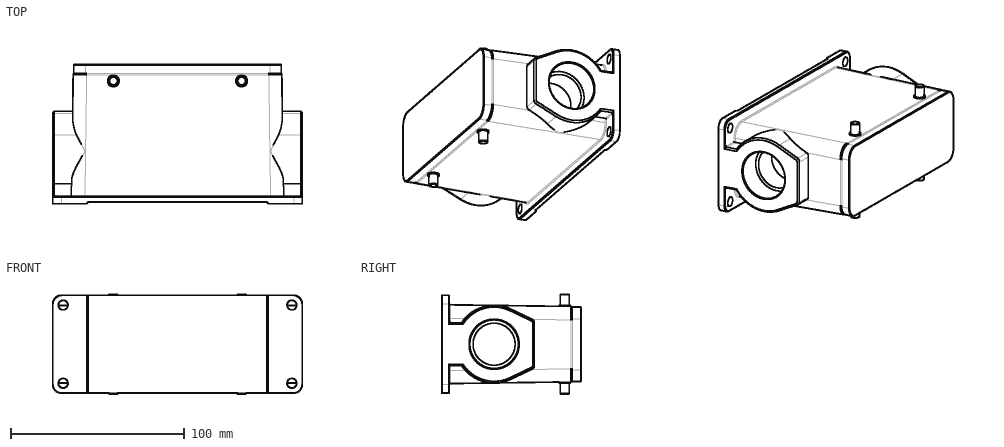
import cadquery as cq
import math

total_length = 144.0
total_height = 80.48
pin_span = 57.62

plate_width = 56.5
plate_thickness = 4.4
plate_corner_radius = 5.0
plate_edge_chamfer = 0.5
plate_hole_diameter = 5.5
plate_hole_pitch_x = 132.0
plate_hole_pitch_z = 45.0
recess_depth = 1.0
recess_floor_length = 103.0
recess_side_run = 1.0

lid_height = 5.2
lid_base = total_height - lid_height
shoulder_height = 0.85
body_top = lid_base - shoulder_height
body_base_length = 122.5
body_base_width = 45.6
body_taper = 0.8
body_corner_radius = 7.7
body_foot_fillet = 0.6

lid_length = 120.0
lid_width = 43.1
lid_corner_radius = 6.8
lid_edge_chamfer = 0.4

pin_pitch = 74.0
pin_height = 70.95
pin_diameter = 5.3
pin_tip_chamfer = 0.4
pin_collar_diameter = 6.6
pin_collar_span = 44.8

boss_axis_height = 30.2
boss_radius = 22.42
boss_crown_height = 53.5
boss_crown_half_width = 13.7
boss_crown_fillet = 2.2
boss_neck_half_width = 12.5
boss_edge_chamfer = 1.0
boss_inner_x = 45.0
bore_radius = 14.0
bore_depth = 15.0
bore_mouth_chamfer = 0.5
inner_bore_radius = 12.15
inner_bore_depth = 30.0


def rounded_section(length, width, radius, height):
    """Rounded rectangle parallel to the mounting face at the given height."""
    section = cq.Sketch().rect(length, width).vertices().fillet(radius)
    return cq.Workplane("XZ", origin=(0, height, 0)).placeSketch(section)


def make_plate():
    plate = rounded_section(total_length, plate_width, plate_corner_radius, 0).extrude(-plate_thickness)
    plate = plate.faces(">Y").edges().chamfer(plate_edge_chamfer)
    half_floor = recess_floor_length / 2
    half_mouth = half_floor + recess_side_run
    recess = (
        cq.Workplane("XY")
        .polyline([(-half_mouth, 0), (half_mouth, 0), (half_floor, recess_depth), (-half_floor, recess_depth)])
        .close()
        .extrude(plate_width / 2, both=True)
    )
    holes = (
        cq.Workplane("XZ")
        .rect(plate_hole_pitch_x, plate_hole_pitch_z, forConstruction=True)
        .vertices()
        .circle(plate_hole_diameter / 2)
        .extrude(-plate_thickness)
    )
    return plate.cut(recess).cut(holes)


def make_body():
    rise = body_top - plate_thickness
    base = cq.Workplane("XZ", origin=(0, plate_thickness, 0)).rect(body_base_length, body_base_width)
    body = base.extrude(-rise, taper=body_taper)
    body = body.edges("not (|X or |Z)").fillet(body_corner_radius)
    shrink = 2 * rise * math.tan(math.radians(body_taper))
    top_width = body_base_width - shrink
    top_length = body_base_length - shrink
    shoulder_slope = math.degrees(math.atan2((top_width - lid_width) / 2, shoulder_height))
    shoulder = rounded_section(top_length, top_width, body_corner_radius, body_top)
    return body.union(shoulder.extrude(-shoulder_height, taper=shoulder_slope))


def make_lid():
    lid = rounded_section(lid_length, lid_width, lid_corner_radius, lid_base).extrude(-lid_height)
    return lid.faces(">Y").edges().chamfer(lid_edge_chamfer)


def make_pin(x):
    """One pin rod reaching through both long sides, with a collar at each side."""
    centre = cq.Workplane("XY", origin=(x, pin_height, 0))
    rod = centre.circle(pin_diameter / 2).extrude(pin_span / 2, both=True)
    rod = rod.faces("<Z or >Z").chamfer(pin_tip_chamfer)
    collar = centre.circle(pin_collar_diameter / 2).extrude(pin_collar_span / 2, both=True)
    return rod.union(collar)


def make_boss():
    """Cable entry boss at the +X end, drawn in the YZ plane and run inwards."""
    crown_rise = boss_crown_height - boss_axis_height
    corner_angle = math.atan2(boss_crown_half_width, crown_rise)
    corner_distance = math.hypot(boss_crown_half_width, crown_rise)
    tangent_angle = corner_angle + math.acos(boss_radius / corner_distance)
    tangent_y = boss_axis_height + boss_radius * math.cos(tangent_angle)
    tangent_z = boss_radius * math.sin(tangent_angle)
    neck_y = boss_axis_height - math.sqrt(boss_radius**2 - boss_neck_half_width**2)
    foot_y = plate_thickness / 2

    outline = (
        cq.Workplane("YZ", origin=(boss_inner_x, 0, 0))
        .moveTo(foot_y, -boss_neck_half_width)
        .lineTo(neck_y, -boss_neck_half_width)
        .threePointArc((boss_axis_height, -boss_radius), (tangent_y, -tangent_z))
        .lineTo(boss_crown_height, -boss_crown_half_width)
        .lineTo(boss_crown_height, boss_crown_half_width)
        .lineTo(tangent_y, tangent_z)
        .threePointArc((boss_axis_height, boss_radius), (neck_y, boss_neck_half_width))
        .lineTo(foot_y, boss_neck_half_width)
        .close()
    )
    boss = outline.extrude(total_length / 2 - boss_inner_x)
    boss = boss.edges("|X and >Y").fillet(boss_crown_fillet)
    return boss.faces(">X").edges("not <Y").chamfer(boss_edge_chamfer)


def make_bore():
    """Stepped blind bore at the +X end, turned about the boss axis."""
    face_x = total_length / 2
    step_x = face_x - bore_depth
    end_x = face_x - inner_bore_depth
    mouth_radius = bore_radius + bore_mouth_chamfer
    return (
        cq.Workplane("XY", origin=(0, boss_axis_height, 0))
        .polyline([
            (end_x, 0),
            (face_x, 0),
            (face_x, mouth_radius),
            (face_x - bore_mouth_chamfer, bore_radius),
            (step_x, bore_radius),
            (step_x, inner_bore_radius),
            (end_x, inner_bore_radius),
        ])
        .close()
        .revolve(360, (0, 0, 0), (1, 0, 0))
    )


def soften_foot(housing):
    """Fillet the inside corner where the body and the boss necks stand on the plate."""
    margin = body_foot_fillet / 2
    reach_x = total_length / 2 - boss_edge_chamfer + margin
    reach_z = body_base_width / 2 + margin
    foot_edges = cq.selectors.BoxSelector(
        (-reach_x, plate_thickness - margin, -reach_z),
        (reach_x, plate_thickness + margin, reach_z),
        boundingbox=True,
    )
    return housing.edges(foot_edges).fillet(body_foot_fillet)


boss = make_boss()
bore = make_bore()
housing = make_plate().union(make_body())
housing = housing.union(boss).union(boss.mirror("YZ"))
housing = soften_foot(housing)
housing = housing.cut(bore).cut(bore.mirror("YZ"))
housing = housing.union(make_lid())
for pin_x in (-pin_pitch / 2, pin_pitch / 2):
    housing = housing.union(make_pin(pin_x))

result = housing